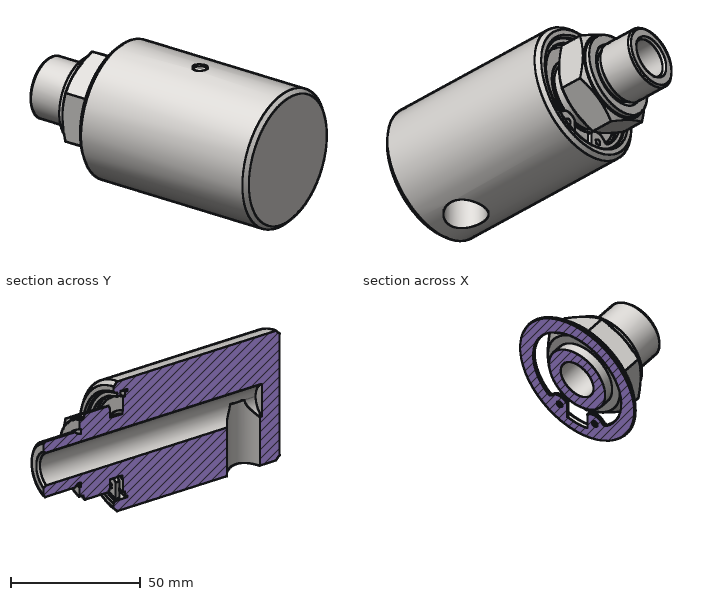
import cadquery as cq
import math


thread_end = 15.1
flange_start = 17.0
hex_start = 19.0
hex_end = 31.7
housing_start = 33.3
total_length = 112.6

thread_diameter = 25.3
thread_lead_chamfer = 0.8
undercut_diameter = 22.5
undercut_middle_x = 15.9
undercut_middle_diameter = 23.9
flange_diameter = 34.0
flange_groove_diameter = 26.0
flange_groove_depth = 0.7

hex_across_flats = 36.2
hex_face_diameter = 35.3
hex_chamfer_angle = 27.0
neck_diameter = 27.9

housing_diameter = 56.6
housing_chamfer = 1.8
mouth_diameter = 47.0
mouth_chamfer = 0.8
mouth_depth = 6.5

cover_diameter = 45.9
cover_height = 1.0
cover_step_diameter = 41.9
cover_step_height = 1.0
collar_diameter = 30.4
collar_height = 0.3

ring_front_depth = 1.7
ring_thickness = 1.8
ring_inner_diameter = 43.3
ring_gap = 9.8
ear_radius = 4.6
ear_fillet = 1.4
ear_hole_diameter = 2.5
ear_hole_y = 8.7
ear_hole_z = -18.6

bore_diameter = 16.0
bore_mouth_diameter = 17.5
bore_mouth_length = 1.2
port_x = 95.2
port_diameter = 17.5

dimple_x = 71.4
dimple_diameter = 6.0
dimple_depth = 1.0
tip_diameter = 2.3
tip_height = 0.3


def disc(x, diameter, length):
    """Cylinder about the X axis, starting at x."""
    return cq.Workplane("YZ", origin=(x, 0, 0)).circle(diameter / 2).extrude(length)


def make_spigot():
    radius = thread_diameter / 2
    groove_floor = flange_start + flange_groove_depth
    half_profile = (
        cq.Workplane("XY")
        .lineTo(0, radius - thread_lead_chamfer)
        .lineTo(thread_lead_chamfer, radius)
        .lineTo(thread_end, radius)
        .threePointArc(
            (undercut_middle_x, undercut_middle_diameter / 2),
            (groove_floor, undercut_diameter / 2),
        )
        .lineTo(groove_floor, flange_groove_diameter / 2)
        .lineTo(flange_start, flange_groove_diameter / 2)
        .lineTo(flange_start, flange_diameter / 2)
        .lineTo(hex_start, flange_diameter / 2)
        .lineTo(hex_start, 0)
        .close()
    )
    return half_profile.revolve(360, (0, 0, 0), (1, 0, 0))


def make_hexagon():
    corner_diameter = hex_across_flats / math.cos(math.radians(30))
    prism = (
        cq.Workplane("YZ", origin=(hex_start, 0, 0))
        .transformed(rotate=(0, 0, 90))
        .polygon(6, corner_diameter)
        .extrude(hex_end - hex_start)
    )
    corner_radius = corner_diameter / 2
    face_radius = hex_face_diameter / 2
    chamfer_length = (corner_radius - face_radius) * math.tan(math.radians(hex_chamfer_angle))
    trim_profile = [
        (hex_start, 0),
        (hex_start, face_radius),
        (hex_start + chamfer_length, corner_radius),
        (hex_end - chamfer_length, corner_radius),
        (hex_end, face_radius),
        (hex_end, 0),
    ]
    trim = cq.Workplane("XY").polyline(trim_profile).close().revolve(360, (0, 0, 0), (1, 0, 0))
    return prism.intersect(trim)


def make_housing():
    housing = disc(housing_start, housing_diameter, total_length - housing_start)
    housing = housing.faces("<X or >X").chamfer(housing_chamfer)
    mouth = disc(housing_start, mouth_diameter, mouth_depth)
    housing = housing.cut(mouth)
    mouth_rim = cq.selectors.RadiusNthSelector(0)
    return housing.faces("<X").edges(mouth_rim).chamfer(mouth_chamfer)


def make_cover():
    floor = housing_start + mouth_depth
    base_top = floor - cover_height
    step_top = base_top - cover_step_height
    collar_top = step_top - collar_height
    base = disc(base_top, cover_diameter, floor - base_top)
    step = disc(step_top, cover_step_diameter, floor - step_top)
    collar = disc(collar_top, collar_diameter, floor - collar_top)
    return base.union(step).union(collar)


def make_retaining_ring():
    front = housing_start + ring_front_depth
    ring = disc(front, mouth_diameter, ring_thickness).cut(
        disc(front, ring_inner_diameter, ring_thickness)
    )
    ear_plane = cq.Workplane("YZ", origin=(front, 0, 0))
    ear_centers = [(-ear_hole_y, ear_hole_z), (ear_hole_y, ear_hole_z)]
    ears = ear_plane.pushPoints(ear_centers).circle(ear_radius).extrude(ring_thickness)
    ears = ears.intersect(disc(front, mouth_diameter, ring_thickness))
    gap = ear_plane.center(0, -mouth_diameter / 2).rect(ring_gap, mouth_diameter).extrude(ring_thickness)
    holes = ear_plane.pushPoints(ear_centers).circle(ear_hole_diameter / 2).extrude(ring_thickness)
    ring = ring.union(ears)
    flank_y_min = ear_hole_y + ear_radius / 2
    for side in (-1, 1):
        flank = cq.selectors.BoxSelector(
            (front, side * flank_y_min, ear_hole_z),
            (front + ring_thickness, side * mouth_diameter / 2, 0),
        )
        ring = ring.edges("|X").edges(flank).fillet(ear_fillet)
    return ring.cut(gap).cut(holes)


def make_passages():
    bore = disc(0, bore_diameter, port_x + port_diameter / 2)
    mouth_plane = cq.Workplane("YZ").circle(bore_mouth_diameter / 2)
    mouth = mouth_plane.workplane(offset=bore_mouth_length).circle(bore_diameter / 2).loft()
    port = cq.Workplane("XY", origin=(port_x, 0, 0)).circle(port_diameter / 2).extrude(-housing_diameter)
    return bore.union(mouth).union(port)


def make_dimple():
    floor = housing_diameter / 2 - dimple_depth
    cup = cq.Workplane("XY", origin=(dimple_x, 0, floor)).circle(dimple_diameter / 2).extrude(dimple_depth)
    tip = cq.Solid.makeCone(
        tip_diameter / 2, 0, tip_height, cq.Vector(dimple_x, 0, floor), cq.Vector(0, 0, 1)
    )
    return cup.cut(cq.Workplane(tip))


neck = disc(hex_end, neck_diameter, housing_start + mouth_depth - hex_end)

result = (
    make_housing()
    .union(make_cover())
    .union(make_retaining_ring())
    .union(neck)
    .union(make_hexagon())
    .union(make_spigot())
    .cut(make_passages())
    .cut(make_dimple())
)